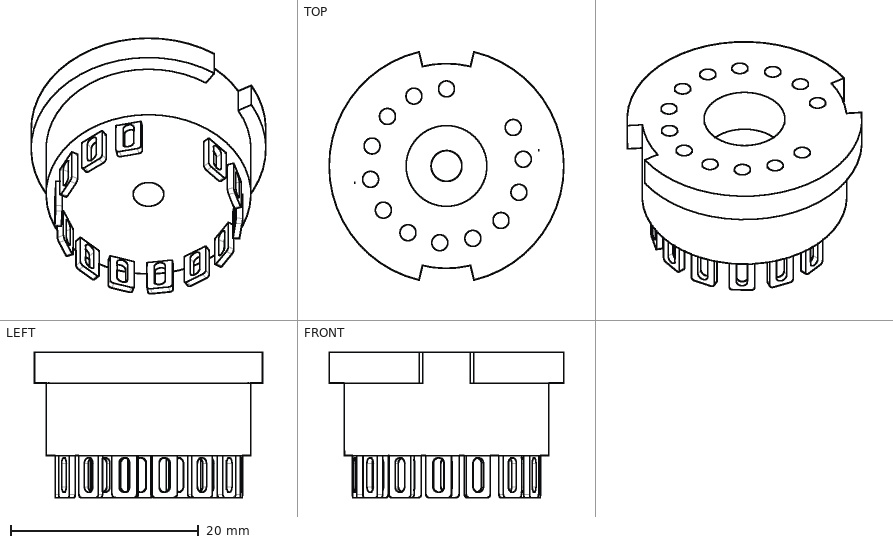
import cadquery as cq
import math


flange_radius = 12.5
flange_height = 3.3
body_radius = 10.9
body_height = 7.7

notch_half_angle = 13.5
notch_reach = 1.2 * flange_radius

bore_diameter = 8.6
bore_depth = 5.2
through_diameter = 3.25

contact_count = 13
contact_pitch_angle = 25.0
first_contact_angle = 90.0
socket_diameter = 1.7
socket_depth = bore_depth
socket_ring_radius = 8.2

pin_length = 4.5
pin_width = 2.72
pin_thickness = 0.7
pin_outer_radius = 9.92
pin_corner_radius = 0.4
pin_root = 0.25
eyelet_width = 1.18
eyelet_length = 3.65
eyelet_bottom_gap = 0.6

body_bottom = pin_length
flange_bottom = body_bottom + body_height
top = flange_bottom + flange_height
contact_angles = [first_contact_angle + i * contact_pitch_angle for i in range(contact_count)]


def make_flange():
    """Disc with two opposite notches cut down to the body radius."""
    flange = cq.Workplane("XY").workplane(offset=flange_bottom).circle(flange_radius).extrude(flange_height)
    half_width = notch_reach * math.tan(math.radians(notch_half_angle))
    for side in (1, -1):
        wedge = (
            cq.Workplane("XY")
            .workplane(offset=flange_bottom)
            .polyline([(0, 0), (half_width, side * notch_reach), (-half_width, side * notch_reach)])
            .close()
            .extrude(flange_height)
        )
        flange = flange.cut(wedge)
    return flange


def make_body():
    """Cylinder that runs up through the flange and forms the notch floors."""
    return cq.Workplane("XY").workplane(offset=body_bottom).circle(body_radius).extrude(top - body_bottom)


def make_pin():
    """Tab with a rounded eyelet and rounded lower corners, at angle zero; its root enters the body."""
    height = pin_length + pin_root
    inner_face = cq.Workplane("YZ").workplane(offset=pin_outer_radius - pin_thickness)
    tab = (
        inner_face.center(0, height / 2)
        .rect(pin_width, height)
        .extrude(pin_thickness)
        .edges("|X and <Z")
        .fillet(pin_corner_radius)
    )
    eyelet = (
        inner_face.center(0, eyelet_bottom_gap + eyelet_length / 2)
        .slot2D(eyelet_length, eyelet_width, 90)
        .extrude(pin_thickness)
    )
    return tab.cut(eyelet)


def cut_centre_hole(part):
    """Wide bore from the top, with a narrow hole on through the floor."""
    return part.faces(">Z").workplane(origin=(0, 0, top)).cboreHole(through_diameter, bore_diameter, bore_depth)


def cut_contact_sockets(part):
    """Blind round sockets, one at the angle of each pin."""
    centres = [
        (
            socket_ring_radius * math.cos(math.radians(angle)),
            socket_ring_radius * math.sin(math.radians(angle)),
        )
        for angle in contact_angles
    ]
    sockets = (
        cq.Workplane("XY")
        .workplane(offset=top - socket_depth)
        .pushPoints(centres)
        .circle(socket_diameter / 2)
        .extrude(socket_depth)
    )
    return part.cut(sockets)


result = make_body().union(make_flange())
result = cut_centre_hole(result)
result = cut_contact_sockets(result)
pin = make_pin()
for angle in contact_angles:
    result = result.union(pin.rotate((0, 0, 0), (0, 0, 1), angle))